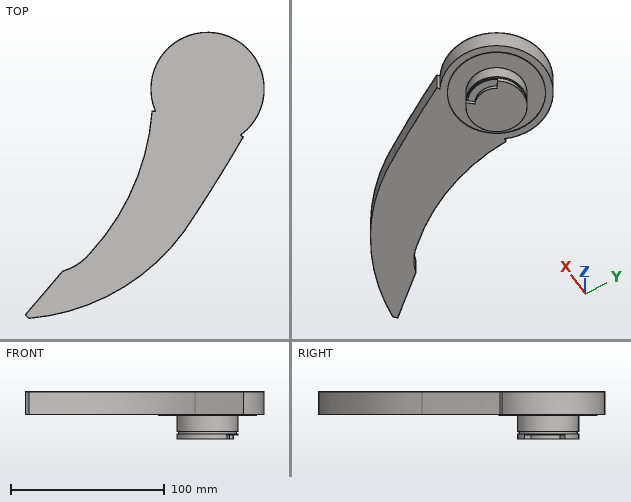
import cadquery as cq
import math


plate_thickness = 15.0
head_radius = 37.0

arm_root = (0.0, -14.5)
inner_shoulder = (-36.2, -14.5)
inner_bend = (-76.2, -106.6)
hook_corner = (-94.5, -118.8)
tip_upper = (-118.85, -147.3)
tip_lower = (-116.4, -149.65)
outer_bend = (-8.2, -82.3)
outer_shoulder = (23.3, -31.3)

inner_sweep_radius = 153.0
hook_radius = 37.0
outer_sweep_radius = 140.0
flank_radius = 1000.0

collar_radius = 32.0
collar_height = 0.5
hub_radius = 20.0
hub_height = 10.5
groove_depth = 1.0
groove_height = 1.6
lip_height = 3.4

notch_inner_radius = 14.2
notch_start_angle = -51.0
notch_end_angle = 33.0
notch_ring_thickness = 0.6
notch_overcut = 1.0


def arc_middle(start, end, radius):
    """Middle of the minor arc from start to end, bulging to the right of that direction."""
    dx = end[0] - start[0]
    dy = end[1] - start[1]
    chord = math.hypot(dx, dy)
    bulge = radius - math.sqrt(radius**2 - (chord / 2) ** 2)
    middle_x = (start[0] + end[0]) / 2 + bulge * dy / chord
    middle_y = (start[1] + end[1]) / 2 - bulge * dx / chord
    return (middle_x, middle_y)


def polar(radius, angle):
    """Point at the given radius and angle in degrees about the hub axis."""
    return (radius * math.cos(math.radians(angle)), radius * math.sin(math.radians(angle)))


def make_arm():
    return (
        cq.Workplane("XY")
        .moveTo(*arm_root)
        .lineTo(*inner_shoulder)
        .threePointArc(arc_middle(inner_bend, inner_shoulder, inner_sweep_radius), inner_bend)
        .threePointArc(arc_middle(hook_corner, inner_bend, hook_radius), hook_corner)
        .lineTo(*tip_upper)
        .lineTo(*tip_lower)
        .threePointArc(arc_middle(tip_lower, outer_bend, outer_sweep_radius), outer_bend)
        .threePointArc(arc_middle(outer_bend, outer_shoulder, flank_radius), outer_shoulder)
        .close()
        .extrude(plate_thickness)
    )


def make_hub():
    steps = (
        (collar_radius, collar_height),
        (hub_radius, hub_height),
        (hub_radius - groove_depth, groove_height),
        (hub_radius, lip_height),
    )
    hub = cq.Workplane("XY")
    top = 0.0
    for radius, height in steps:
        step = cq.Workplane("XY").workplane(offset=top).circle(radius).extrude(-height)
        hub = hub.union(step)
        top -= height
    return hub


def make_lip_notch():
    hub_bottom = -(collar_height + hub_height + groove_height + lip_height)
    cut_radius = hub_radius + notch_overcut
    middle_angle = (notch_start_angle + notch_end_angle) / 2
    return (
        cq.Workplane("XY")
        .workplane(offset=hub_bottom)
        .moveTo(*polar(notch_inner_radius, notch_start_angle))
        .lineTo(*polar(cut_radius, notch_start_angle))
        .threePointArc(polar(cut_radius, middle_angle), polar(cut_radius, notch_end_angle))
        .lineTo(*polar(notch_inner_radius, notch_end_angle))
        .threePointArc(
            polar(notch_inner_radius, middle_angle),
            polar(notch_inner_radius, notch_start_angle),
        )
        .close()
        .extrude(lip_height - notch_ring_thickness)
    )


head = cq.Workplane("XY").circle(head_radius).extrude(plate_thickness)
plate = head.union(make_arm())
result = plate.union(make_hub().cut(make_lip_notch()))